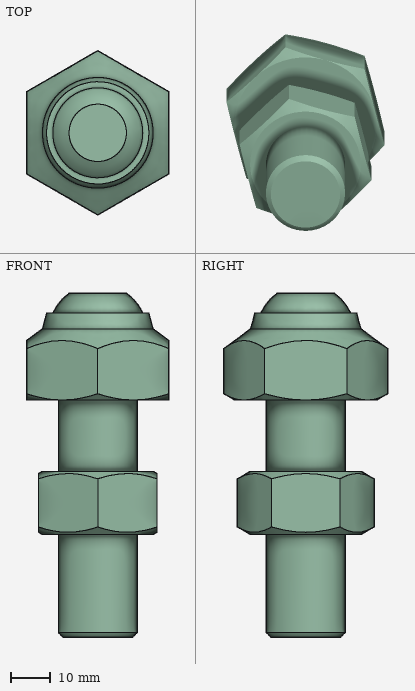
import cadquery as cq
import math


SHANK_DIAMETER = 20.0
SHANK_LENGTH = 60.0
SHANK_CHAMFER = 1.25

HEX_SIDES = 6
HEAD_ACROSS_FLATS = 36.0
NUT_ACROSS_FLATS = 30.0
HEX_CHAMFER_ANGLE = 30.0

HEAD_HEIGHT = 18.0
HEAD_CONE_DROP = 5.0

COLLAR_BASE_DIAMETER = 28.0
COLLAR_HEIGHT = 4.0
COLLAR_TAPER_ANGLE = 15.0

BALL_DIAMETER = 25.0
BALL_PROTRUSION = 5.0
BALL_FLAT_DIAMETER = 14.5

NUT_HEIGHT = 16.0
NUT_GAP = 18.0
NUT_FACE_DIAMETER = 28.0


def corner_radius(across_flats):
    """Distance from the axis of a hexagon to its corners."""
    return across_flats / 2 / math.cos(math.pi / HEX_SIDES)


def hex_chamfer_height(across_flats, face_radius):
    """Height of a conical chamfer between an end face circle and the hexagon corners."""
    radial_width = corner_radius(across_flats) - face_radius
    return radial_width * math.tan(math.radians(HEX_CHAMFER_ANGLE))


def chamfered_hexagon(across_flats, height, bottom_radius, bottom_drop, top_radius, top_drop):
    """Hexagonal prism on Z = 0 whose corners are turned down by a cone at each end."""
    corner = corner_radius(across_flats)
    prism = (
        cq.Workplane("XY")
        .polygon(HEX_SIDES, 2 * corner)
        .extrude(height)
        .rotate((0, 0, 0), (0, 0, 1), 180 / HEX_SIDES)
    )
    envelope = (
        cq.Workplane("XZ")
        .moveTo(0, 0)
        .lineTo(bottom_radius, 0)
        .lineTo(corner, bottom_drop)
        .lineTo(corner, height - top_drop)
        .lineTo(top_radius, height)
        .lineTo(0, height)
        .close()
        .revolve(360, (0, 0, 0), (0, 1, 0))
    )
    return prism.intersect(envelope)


def make_shank():
    """Plain shank with a chamfered lower end."""
    return (
        cq.Workplane("XY")
        .circle(SHANK_DIAMETER / 2)
        .extrude(-SHANK_LENGTH)
        .faces("<Z")
        .chamfer(SHANK_CHAMFER)
    )


def make_head():
    """Hexagonal head with a steep cone on top and a shallow chamfer underneath."""
    bottom_radius = HEAD_ACROSS_FLATS / 2
    return chamfered_hexagon(
        HEAD_ACROSS_FLATS,
        HEAD_HEIGHT,
        bottom_radius,
        hex_chamfer_height(HEAD_ACROSS_FLATS, bottom_radius),
        COLLAR_BASE_DIAMETER / 2,
        HEAD_CONE_DROP,
    )


def make_collar():
    """Tapered collar that holds the ball."""
    return (
        cq.Workplane("XY")
        .workplane(offset=HEAD_HEIGHT)
        .circle(COLLAR_BASE_DIAMETER / 2)
        .extrude(COLLAR_HEIGHT, taper=COLLAR_TAPER_ANGLE)
    )


def make_ball():
    """Exposed part of the ball, from the collar face up to its flat."""
    ball_radius = BALL_DIAMETER / 2
    flat_radius = BALL_FLAT_DIAMETER / 2
    collar_top = HEAD_HEIGHT + COLLAR_HEIGHT
    ball_top = collar_top + BALL_PROTRUSION
    ball_center = ball_top - math.sqrt(ball_radius**2 - flat_radius**2)
    exposed_zone = (
        cq.Workplane("XY")
        .workplane(offset=collar_top)
        .circle(ball_radius)
        .extrude(BALL_PROTRUSION)
    )
    ball = cq.Workplane("XY").sphere(ball_radius).translate((0, 0, ball_center))
    return ball.intersect(exposed_zone)


def make_nut():
    """Lock nut chamfered alike on both faces."""
    face_radius = NUT_FACE_DIAMETER / 2
    chamfer_height = hex_chamfer_height(NUT_ACROSS_FLATS, face_radius)
    nut = chamfered_hexagon(
        NUT_ACROSS_FLATS, NUT_HEIGHT, face_radius, chamfer_height, face_radius, chamfer_height
    )
    return nut.translate((0, 0, -NUT_GAP - NUT_HEIGHT))


result = make_shank().union(make_head()).union(make_collar()).union(make_ball()).union(make_nut())